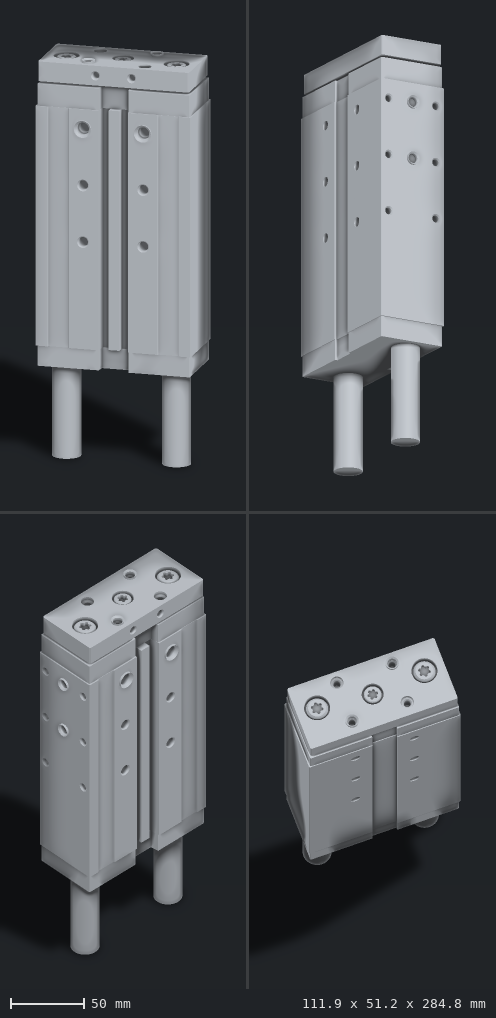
import cadquery as cq
import math


total_height = 284.8
sleeve_projection = 1.7
plate_thickness = 14.0
plate_gap = 2.0
top_cap_height = 15.5
bottom_cap_height = 14.5
rod_projection = 67.5
plate_top = total_height - sleeve_projection
plate_bottom = plate_top - plate_thickness
housing_top = plate_bottom - plate_gap
tube_top = housing_top - top_cap_height
tube_bottom = rod_projection + bottom_cap_height

tube_width = 110.2
tube_depth = 49.5
tube_half_width = tube_width / 2
tube_half_depth = tube_depth / 2
tube_edge_chamfer = 0.5
cap_half_width = 54.0
cap_back = 24.2
cap_front = -23.5
cap_edge_chamfer = 0.5
channel_half_width = 10.5
channel_wall_lean = 0.12
channel_depth = 9.0
cap_channel_depth = 6.3
rail_width = 7.7
rail_half_width = rail_width / 2
rail_front = -22.2
strip_inner = 31.3
strip_outer = 46.7
strip_recess = 0.9
back_channel_half_width = 9.0
back_channel_depth = 1.7

plate_half_width = 53.5
plate_back = 23.4
plate_front = -23.5
plate_edge_chamfer = 0.9

guide_rod_diameter = 20.0
guide_rod_spacing = 78.0
guide_rod_y = -3.5
piston_rod_diameter = 12.0
piston_rod_y = 0.3

guide_head_bore = 18.0
guide_head_diameter = 15.0
guide_socket_diameter = 6.5
guide_lobe_diameter = 2.3
piston_head_bore = 15.0
piston_head_diameter = 12.0
piston_socket_diameter = 5.5
piston_lobe_diameter = 2.3
head_bore_depth = 7.0
head_height = 6.5
guide_head_chamfer = 1.5
piston_head_chamfer = 0.5
socket_depth = 3.5
lobe_count = 6
guide_first_lobe = 30
piston_first_lobe = 0

hole_pitch = 40.2
upper_row_z = 238.0
row_count = 3
side_sleeve_count = 2
row_heights = [upper_row_z - i * hole_pitch for i in range(row_count)]
front_hole_x = 21.5
front_hole_diameter = 6.8
front_hole_mouth = 8.3
thread_diameter = 4.8
thread_mouth = 6.5
thread_depth = 11.5
drill_tip_angle = 118
side_thread_offset = 18.5
plate_thread_x = 12.8
plate_thread_z = 276.0

small_sleeve_outer = 9.0
small_sleeve_inner = 6.8
large_sleeve_outer = 12.0
large_sleeve_inner = 8.8
small_seat_depth = 2.3
large_seat_depth = 4.3
plate_seat_spacing_y = 30.0
plate_seat_center_y = -0.9
plate_hole_depth = 10.0

UP = (0, 0, 1)
DOWN = (0, 0, -1)
INWARD_FRONT = (0, 1, 0)
INWARD_SIDE = (1, 0, 0)


def cylinder(point, direction, diameter, length):
    """A cylinder that starts at a point and runs along a direction."""
    solid = cq.Solid.makeCylinder(diameter / 2, length, cq.Vector(*point), cq.Vector(*direction))
    return cq.Workplane(solid)


def cone(point, direction, start_diameter, end_diameter, length):
    """A truncated or pointed cone that starts at a point and runs along a direction."""
    solid = cq.Solid.makeCone(
        start_diameter / 2, end_diameter / 2, length, cq.Vector(*point), cq.Vector(*direction)
    )
    return cq.Workplane(solid)


def countersink(point, direction, mouth, diameter):
    """A 45 degree mouth for a hole."""
    return cone(point, direction, mouth, diameter, (mouth - diameter) / 2)


def deeper(point, direction, distance):
    """The point moved along a direction."""
    return (cq.Vector(*point) + cq.Vector(*direction) * distance).toTuple()


def thread_hole(point, direction):
    """A countersunk blind hole with a drill tip."""
    bottom = deeper(point, direction, thread_depth)
    tip_length = thread_diameter / 2 / math.tan(math.radians(drill_tip_angle / 2))
    shaft = cylinder(point, direction, thread_diameter, thread_depth)
    tip = cone(bottom, direction, thread_diameter, 0, tip_length)
    return shaft.union(tip).union(countersink(point, direction, thread_mouth, thread_diameter))


def mirrored_prism(half_outline, bottom, top):
    """A prism whose outline is given for X > 0 and is symmetric about X = 0."""
    other_half = [(-x, y) for x, y in reversed(half_outline)]
    base = cq.Workplane("XY").workplane(offset=bottom)
    return base.polyline(half_outline + other_half).close().extrude(top - bottom)


def front_channel_wall(front, depth):
    """One side wall of the front channel, leaning inwards from its mouth to its floor."""
    return [
        (channel_half_width - depth * channel_wall_lean, front + depth),
        (channel_half_width, front),
    ]


def back_channel(back):
    """The shallow channel along the back."""
    return [
        (back_channel_half_width, back),
        (back_channel_half_width, back - back_channel_depth),
    ]


def corners(half_width, front, back, chamfer):
    """The two chamfered corners on one side of an outline."""
    return [
        (half_width - chamfer, front),
        (half_width, front + chamfer),
        (half_width, back - chamfer),
        (half_width - chamfer, back),
    ]


def tube_blank():
    """The tube section with its railed channel and two shallow strips, without holes."""
    front = -tube_half_depth
    outline = [
        (rail_half_width, rail_front),
        (rail_half_width, front + channel_depth),
        *front_channel_wall(front, channel_depth),
        (strip_inner, front),
        (strip_inner + strip_recess, front + strip_recess),
        (strip_outer - strip_recess, front + strip_recess),
        (strip_outer, front),
        *corners(tube_half_width, front, tube_half_depth, tube_edge_chamfer),
        *back_channel(tube_half_depth),
    ]
    return mirrored_prism(outline, tube_bottom, tube_top)


def cap_blank(bottom, top):
    """An end cap section, slightly smaller than the tube, without holes."""
    outline = [
        *front_channel_wall(cap_front, cap_channel_depth),
        *corners(cap_half_width, cap_front, cap_back, cap_edge_chamfer),
        *back_channel(cap_back),
    ]
    return mirrored_prism(outline, bottom, top)


guide_rod_points = [(side * guide_rod_spacing / 2, guide_rod_y) for side in (-1, 1)]


def make_rods():
    """Two guide rods through the tube and both caps and a piston rod that ends at the lower cap."""
    piston_length = plate_bottom - tube_bottom
    rods = cylinder((0, piston_rod_y, tube_bottom), UP, piston_rod_diameter, piston_length)
    for x, y in guide_rod_points:
        rods = rods.add(cylinder((x, y, 0), UP, guide_rod_diameter, plate_bottom))
    return rods.combine()


front_sleeve_points = [(side * front_hole_x, -tube_half_depth, upper_row_z) for side in (-1, 1)]
side_sleeve_points = [(-tube_half_width, piston_rod_y, z) for z in row_heights[:side_sleeve_count]]


def plate_seat_point(side_x, side_y):
    """The middle of one sleeve seat on the top of the yoke plate."""
    return (
        side_x * hole_pitch / 2,
        plate_seat_center_y + side_y * plate_seat_spacing_y / 2,
        plate_top,
    )


plate_seat_points = [plate_seat_point(side_x, side_y) for side_x in (-1, 1) for side_y in (-1, 1)]
plate_sleeve_points = [plate_seat_point(side, side) for side in (-1, 1)]


def make_tube():
    """The tube with its rod bores, front holes, side threads and sleeve seats."""
    tube = tube_blank().cut(make_rods())
    for side in (-1, 1):
        for z in row_heights:
            point = (side * front_hole_x, -tube_half_depth, z)
            if point in front_sleeve_points:
                tube = tube.cut(cylinder(point, INWARD_FRONT, large_sleeve_outer, large_seat_depth))
                point = deeper(point, INWARD_FRONT, large_seat_depth)
            tube = tube.cut(cylinder(point, INWARD_FRONT, front_hole_diameter, tube_depth))
            tube = tube.cut(countersink(point, INWARD_FRONT, front_hole_mouth, front_hole_diameter))
    for z in row_heights:
        for side in (-1, 1):
            point = (-tube_half_width, piston_rod_y + side * side_thread_offset, z)
            tube = tube.cut(thread_hole(point, INWARD_SIDE))
    for point in side_sleeve_points:
        tube = tube.cut(cylinder(point, INWARD_SIDE, small_sleeve_outer, small_seat_depth))
    return tube


def make_cap(bottom, top):
    """An end cap with its rod bores."""
    return cap_blank(bottom, top).cut(make_rods())


def screw_head(x, y, diameter, chamfer, socket_diameter, lobe_diameter, first_lobe_angle):
    """A chamfered screw head with a six-lobe socket, standing on the floor of its counterbore."""
    floor = plate_top - head_bore_depth
    head_top = floor + head_height
    head = cylinder((x, y, floor), UP, diameter, head_height).faces(">Z").chamfer(chamfer)
    head = head.cut(cylinder((x, y, head_top), DOWN, socket_diameter, socket_depth))
    for i in range(lobe_count):
        angle = math.radians(first_lobe_angle + i * 360 / lobe_count)
        lobe_x = x + socket_diameter / 2 * math.cos(angle)
        lobe_y = y + socket_diameter / 2 * math.sin(angle)
        head = head.cut(cylinder((lobe_x, lobe_y, head_top), DOWN, lobe_diameter, socket_depth))
    return head


def make_slider():
    """The yoke plate with sunk screw heads, sleeve seats, front threads and the rods."""
    plate = (
        cq.Workplane("XY")
        .workplane(offset=plate_bottom)
        .center(0, (plate_front + plate_back) / 2)
        .rect(2 * plate_half_width, plate_back - plate_front)
        .extrude(plate_thickness)
        .edges("|Z")
        .chamfer(plate_edge_chamfer)
    )
    plate = plate.cut(cylinder((0, piston_rod_y, plate_top), DOWN, piston_head_bore, head_bore_depth))
    piston_socket = (piston_socket_diameter, piston_lobe_diameter, piston_first_lobe)
    plate = plate.union(
        screw_head(0, piston_rod_y, piston_head_diameter, piston_head_chamfer, *piston_socket)
    )
    guide_socket = (guide_socket_diameter, guide_lobe_diameter, guide_first_lobe)
    for x, y in guide_rod_points:
        plate = plate.cut(cylinder((x, y, plate_top), DOWN, guide_head_bore, head_bore_depth))
        plate = plate.union(screw_head(x, y, guide_head_diameter, guide_head_chamfer, *guide_socket))
    for point in plate_seat_points:
        plate = plate.cut(cylinder(point, DOWN, small_sleeve_outer, small_seat_depth))
        seat = deeper(point, DOWN, small_seat_depth)
        plate = plate.cut(cylinder(seat, DOWN, thread_diameter, plate_hole_depth))
        plate = plate.cut(countersink(seat, DOWN, thread_mouth, thread_diameter))
    for side in (-1, 1):
        plate = plate.cut(thread_hole((side * plate_thread_x, plate_front, plate_thread_z), INWARD_FRONT))
    return plate.union(make_rods())


def make_sleeve(point, inward, outer, inner, seat_depth):
    """A ring seated in its counterbore, with a mouth that flares out to a sharp rim."""
    rim = deeper(point, inward, -sleeve_projection)
    length = sleeve_projection + seat_depth
    sleeve = cylinder(rim, inward, outer, length).cut(cylinder(rim, inward, inner, length))
    return sleeve.cut(countersink(rim, inward, outer, inner))


tube = make_tube()
top_cap = make_cap(tube_top, housing_top)
bottom_cap = make_cap(rod_projection, tube_bottom)
slider = make_slider()

small_sleeve = (small_sleeve_outer, small_sleeve_inner, small_seat_depth)
large_sleeve = (large_sleeve_outer, large_sleeve_inner, large_seat_depth)
front_sleeves = [make_sleeve(point, INWARD_FRONT, *large_sleeve) for point in front_sleeve_points]
side_sleeves = [make_sleeve(point, INWARD_SIDE, *small_sleeve) for point in side_sleeve_points]
plate_sleeves = [make_sleeve(point, DOWN, *small_sleeve) for point in plate_sleeve_points]

main_bodies = [tube, top_cap, bottom_cap, slider]
sleeves = front_sleeves + side_sleeves + plate_sleeves
result = cq.Compound.makeCompound([body.val() for body in main_bodies + sleeves])